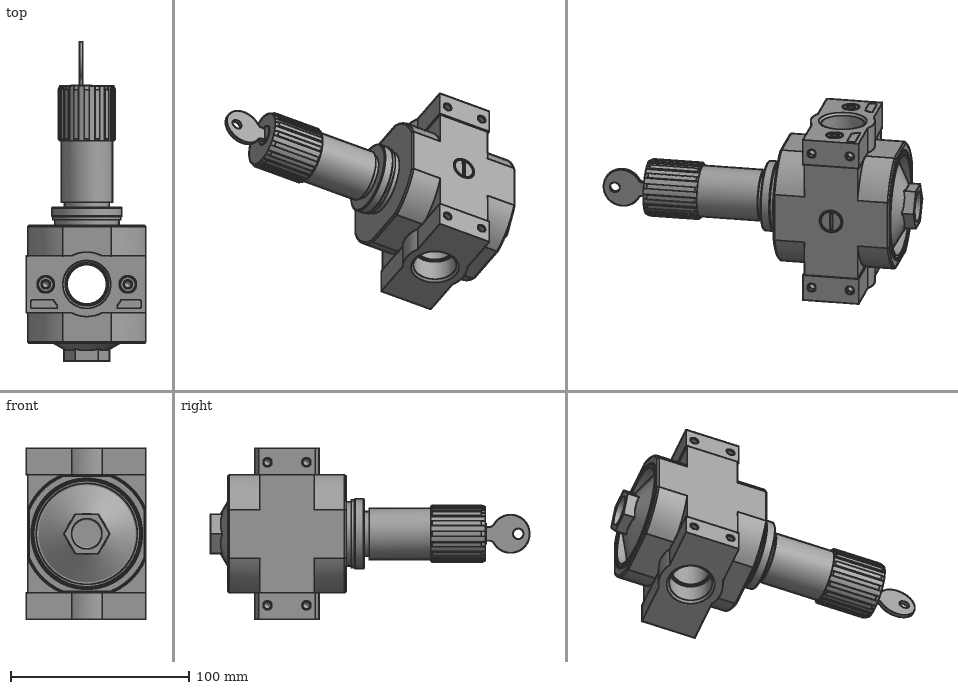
import cadquery as cq
import math


HOUSING_HALF = 33.1
HOUSING_HALF_LENGTH = 33.1
HOUSING_ROUND_D = 71.6
SQUARE_HALF_LENGTH = 15.2
HOUSING_CHAMFER = 0.9
FLOW_BORE_D = 22.0

OUTER_HALF_HEIGHT = 48.0
PLATE_THICKNESS = OUTER_HALF_HEIGHT - HOUSING_HALF
PLATE_LEFT = -34.0
PLATE_RIGHT = HOUSING_HALF
PLATE_HALF_DEPTH = 16.0
PORT_BULGE_D = 36.2
PORT_D = 24.2
PORT_DEPTH = 14.0
PORT_MOUTH_D = 26.8

SMALL_HOLE_D = 4.1
SMALL_MOUTH_D = 5.0
SMALL_HOLE_DEPTH = 3.5
END_HOLE_Y = 11.0
END_HOLE_Z = 40.1

LABEL_MARGIN = 2.5
LEFT_LABEL_LENGTH = 15.0
RIGHT_LABEL_LENGTH = 13.6
LABEL_SLANT = 2.3
LABEL_FRONT = -13.5
LABEL_BACK = -8.8
LABEL_DEPTH = 0.2
LABEL_CORNER = 0.7

SCREW_SPACING = 46.0
SCREW_POSITIONS = (-SCREW_SPACING / 2, SCREW_SPACING / 2)
SCREW_D = 9.0
SCREW_FACE_D = 8.5
SCREW_SEAT_D = 9.7

PLUG_D = 12.4
PLUG_FACE_D = 11.5
PLUG_SEAT_D = 13.2
PLUG_LENGTH = 7.2
SLOT_LENGTH = 9.5
SLOT_WIDTH = 1.6
SLOT_DEPTH = 1.5

COVER_D = 60.9
COVER_FACE_D = 59.5
COVER_SEAT_D = 62.3
RIM_INNER_D = 56.5
GROOVE_DEPTH = 5.7
GROOVE_FILLET = 0.9
COVER_FLOOR = 2.7
CONE_TOP_D = 22.7
FRONT_Y = -43.0
CONE_TOP_Y = -37.0
HEX_FLATS = 22.2
HEX_RECESS_D = 17.0
HEX_RECESS_DEPTH = 3.4
HEX_RECESS_FILLET = 1.0

COLLAR_D = 36.2
COLLAR_END = 36.2
RING_STEP_END = 37.8
RING_D = 39.4
RING_END = 43.3
RING_CHAMFER = 0.5
RING_STEP_D = RING_D - 2 * RING_CHAMFER
NECK_D = 25.2

SLEEVE_D = 28.8
SLEEVE_START = 46.0
GRIP_START = 80.5
GRIP_END = 111.2
GRIP_VALLEY_D = 30.0
GRIP_D = 32.0
GRIP_REAR_CHAMFER = 2.1
RIB_COUNT = 16
RIB_WIDTH = 2.7
LOCK_X = -3.2
LOCK_D = 11.3
LOCK_HEIGHT = 0.5

KEY_THICKNESS = 2.0
KEY_END = 136.0
KEY_HEAD_D = 21.5
KEY_NECK_WIDTH = 7.9
KEY_NECK_FILLET = 2.7
KEY_HOLE_D = 5.7
KEY_HOLE_OFFSET = 4.3


def revolve_about_y(profile):
    """Turn a closed profile of (radius, y) points about the control axis."""
    return cq.Workplane("XY").polyline(profile).close().revolve(360, (0, 0, 0), (0, 1, 0))


def turned_cutter(mouth, direction, profile):
    """Turn a closed profile of (radius, depth) points into a tool that enters at the mouth.

    The direction is a unit vector along a main axis.
    """
    x, y, z = direction
    sideways = cq.Vector(z, x, y)
    plane = cq.Plane(origin=mouth, xDir=sideways, normal=sideways.cross(cq.Vector(x, y, z)))
    return cq.Workplane(plane).polyline(profile).close().revolve(360, (0, 0, 0), (0, 1, 0))


def chamfered_seat(mouth, direction, mouth_d, bore_d, depth):
    """Cylindrical hole with a 45 degree mouth."""
    bore_r = bore_d / 2
    mouth_r = mouth_d / 2
    profile = [(0, 0), (mouth_r, 0), (bore_r, mouth_r - bore_r), (bore_r, depth), (0, depth)]
    return turned_cutter(mouth, direction, profile)


def small_blind_hole(mouth, direction):
    """Drilled hole with a 45 degree mouth and a 45 degree drill point."""
    bore_r = SMALL_HOLE_D / 2
    mouth_r = SMALL_MOUTH_D / 2
    profile = [
        (0, 0),
        (mouth_r, 0),
        (bore_r, mouth_r - bore_r),
        (bore_r, SMALL_HOLE_DEPTH),
        (0, SMALL_HOLE_DEPTH + bore_r),
    ]
    return turned_cutter(mouth, direction, profile)


def flow_bore():
    """Tool for the straight bore that joins both ports."""
    return cq.Workplane("XY").circle(FLOW_BORE_D / 2).extrude(OUTER_HALF_HEIGHT, both=True)


def make_housing():
    side = 2 * HOUSING_HALF
    length = 2 * HOUSING_HALF_LENGTH
    rounded = cq.Workplane("XZ").circle(HOUSING_ROUND_D / 2).extrude(HOUSING_HALF_LENGTH, both=True)
    ends = cq.Workplane("XY").box(side, length, side).intersect(rounded)
    ends = ends.faces("<Y or >Y").chamfer(HOUSING_CHAMFER)
    middle = cq.Workplane("XY").box(side, 2 * SQUARE_HALF_LENGTH, side)
    cover_seat = chamfered_seat(
        (0, -HOUSING_HALF_LENGTH, 0), (0, 1, 0), COVER_SEAT_D, COVER_D, GROOVE_DEPTH + COVER_FLOOR
    )
    plug_seat = chamfered_seat((-HOUSING_HALF, 0, 0), (1, 0, 0), PLUG_SEAT_D, PLUG_D, PLUG_LENGTH)
    return ends.union(middle).cut(flow_bore()).cut(cover_seat).cut(plug_seat)


def make_plate():
    """Upper port plate with its port and end holes."""
    plate = (
        cq.Workplane("XY", origin=(0, 0, HOUSING_HALF))
        .center((PLATE_LEFT + PLATE_RIGHT) / 2, 0)
        .rect(PLATE_RIGHT - PLATE_LEFT, 2 * PLATE_HALF_DEPTH)
        .extrude(PLATE_THICKNESS)
    )
    bulge = cq.Workplane("XY", origin=(0, 0, HOUSING_HALF)).circle(PORT_BULGE_D / 2)
    plate = plate.union(bulge.extrude(PLATE_THICKNESS))
    top = (0, 0, OUTER_HALF_HEIGHT)
    plate = plate.cut(chamfered_seat(top, (0, 0, -1), PORT_MOUTH_D, PORT_D, PORT_DEPTH))
    plate = plate.cut(flow_bore())
    for y in (-END_HOLE_Y, END_HOLE_Y):
        plate = plate.cut(small_blind_hole((PLATE_LEFT, y, END_HOLE_Z), (1, 0, 0)))
        plate = plate.cut(small_blind_hole((PLATE_RIGHT, y, END_HOLE_Z), (-1, 0, 0)))
    return plate


def label_recess(end_x, inward, length):
    """Shallow recess with one slanted end; inward is the X direction away from the plate end."""
    start = end_x + inward * LABEL_MARGIN
    finish = start + inward * length
    outline = [
        (start, LABEL_FRONT),
        (finish, LABEL_FRONT),
        (finish, LABEL_FRONT + 2 * LABEL_CORNER),
        (finish - inward * LABEL_SLANT, LABEL_BACK),
        (start, LABEL_BACK),
    ]
    recess = cq.Workplane("XY", origin=(0, 0, OUTER_HALF_HEIGHT)).polyline(outline).close()
    recess = recess.extrude(-LABEL_DEPTH)
    outer_side = "<X" if inward > 0 else ">X"
    return recess.faces(outer_side).edges("|Z").chamfer(LABEL_CORNER)


def screw_mouth(x):
    return (x, 0, OUTER_HALF_HEIGHT)


def add_upper_details(plate):
    """Cut the screw seats and the label recesses into the upper plate."""
    for x in SCREW_POSITIONS:
        seat = chamfered_seat(screw_mouth(x), (0, 0, -1), SCREW_SEAT_D, SCREW_D, PLATE_THICKNESS)
        plate = plate.cut(seat)
    plate = plate.cut(label_recess(PLATE_LEFT, 1, LEFT_LABEL_LENGTH))
    return plate.cut(label_recess(PLATE_RIGHT, -1, RIGHT_LABEL_LENGTH))


def make_screw(x):
    """Plate screw, flush with the plate, with a socket in its face."""
    screw = cq.Workplane("XY", origin=(x, 0, HOUSING_HALF)).circle(SCREW_D / 2).extrude(PLATE_THICKNESS)
    screw = screw.faces(">Z").chamfer((SCREW_D - SCREW_FACE_D) / 2)
    return screw.cut(small_blind_hole(screw_mouth(x), (0, 0, -1)))


def make_plug():
    """Slotted plug, flush with the left side of the housing."""
    face = cq.Workplane("YZ", origin=(-HOUSING_HALF, 0, 0))
    plug = face.circle(PLUG_D / 2).extrude(PLUG_LENGTH)
    plug = plug.faces("<X").chamfer((PLUG_D - PLUG_FACE_D) / 2)
    return plug.cut(face.rect(SLOT_WIDTH, SLOT_LENGTH).extrude(SLOT_DEPTH))


def make_cover():
    """Round cover with a tapered groove, a cone and a hexagon in the front of the housing."""
    face_y = -HOUSING_HALF_LENGTH
    groove_y = face_y + GROOVE_DEPTH
    back_y = groove_y + COVER_FLOOR
    edge_chamfer = (COVER_D - COVER_FACE_D) / 2
    cover = revolve_about_y([
        (0, back_y),
        (COVER_D / 2, back_y),
        (COVER_D / 2, face_y + edge_chamfer),
        (COVER_FACE_D / 2, face_y),
        (RIM_INNER_D / 2, face_y),
        (RIM_INNER_D / 2, groove_y),
        (CONE_TOP_D / 2, CONE_TOP_Y),
        (0, CONE_TOP_Y),
    ])
    groove_bottom = cq.selectors.BoxSelector(
        (-COVER_D, groove_y - GROOVE_FILLET, -COVER_D), (COVER_D, groove_y + GROOVE_FILLET, COVER_D)
    )
    cover = cover.edges(groove_bottom).edges("%CIRCLE").fillet(GROOVE_FILLET)
    hexagon = (
        cq.Workplane("XZ", origin=(0, groove_y, 0))
        .polygon(6, HEX_FLATS / math.cos(math.pi / 6))
        .extrude(groove_y - FRONT_Y)
    )
    recess = cq.Workplane("XZ", origin=(0, FRONT_Y, 0)).circle(HEX_RECESS_D / 2).extrude(-HEX_RECESS_DEPTH)
    recess = recess.faces(">Y").edges().fillet(HEX_RECESS_FILLET)
    return cover.union(hexagon).cut(recess)


def make_bonnet():
    ring_r = RING_D / 2
    return revolve_about_y([
        (0, HOUSING_HALF_LENGTH),
        (COLLAR_D / 2, HOUSING_HALF_LENGTH),
        (COLLAR_D / 2, COLLAR_END),
        (RING_STEP_D / 2, COLLAR_END),
        (RING_STEP_D / 2, RING_STEP_END),
        (ring_r, RING_STEP_END + RING_CHAMFER),
        (ring_r, RING_END - RING_CHAMFER),
        (RING_STEP_D / 2, RING_END),
        (NECK_D / 2, RING_END),
        (NECK_D / 2, SLEEVE_START),
        (0, SLEEVE_START),
    ])


def make_knob():
    """Smooth sleeve with a ribbed grip; the round lock face stands out of its rear end."""
    valley_r = GRIP_VALLEY_D / 2
    grip_r = GRIP_D / 2
    rib_height = grip_r - valley_r
    knob = revolve_about_y([
        (0, SLEEVE_START),
        (SLEEVE_D / 2, SLEEVE_START),
        (SLEEVE_D / 2, GRIP_START),
        (valley_r, GRIP_START),
        (valley_r, GRIP_END),
        (0, GRIP_END),
    ])
    grip = revolve_about_y([
        (0, GRIP_START),
        (valley_r, GRIP_START),
        (grip_r, GRIP_START + rib_height),
        (grip_r, GRIP_END - GRIP_REAR_CHAMFER),
        (valley_r, GRIP_END),
        (0, GRIP_END),
    ])
    grip_length = GRIP_END - GRIP_START
    bar = cq.Workplane("XY").box(GRIP_D, grip_length, RIB_WIDTH)
    bar = bar.translate((0, (GRIP_START + GRIP_END) / 2, 0))
    for i in range(RIB_COUNT // 2):
        turned = bar.rotate((0, 0, 0), (0, 1, 0), i * 360 / RIB_COUNT)
        knob = knob.union(grip.intersect(turned))
    lock = cq.Workplane("XZ", origin=(LOCK_X, GRIP_END, 0)).circle(LOCK_D / 2).extrude(-LOCK_HEIGHT)
    return knob.union(lock)


def make_key():
    head_y = KEY_END - KEY_HEAD_D / 2
    neck_start = GRIP_END + LOCK_HEIGHT
    middle = cq.Workplane("YZ", origin=(LOCK_X - KEY_THICKNESS / 2, 0, 0))
    head = middle.center(head_y, 0).circle(KEY_HEAD_D / 2).extrude(KEY_THICKNESS)
    neck = (
        middle.center((head_y + neck_start) / 2, 0)
        .rect(head_y - neck_start, KEY_NECK_WIDTH)
        .extrude(KEY_THICKNESS)
    )
    neck_corner_y = head_y - math.sqrt(KEY_HEAD_D**2 - KEY_NECK_WIDTH**2) / 2
    corner_zone = cq.selectors.BoxSelector(
        (LOCK_X - KEY_THICKNESS, neck_corner_y - KEY_NECK_FILLET, -KEY_NECK_WIDTH),
        (LOCK_X + KEY_THICKNESS, neck_corner_y + KEY_NECK_FILLET, KEY_NECK_WIDTH),
    )
    key = head.union(neck).edges("|X").edges(corner_zone).fillet(KEY_NECK_FILLET)
    ring_hole = middle.center(head_y + KEY_HOLE_OFFSET, 0).circle(KEY_HOLE_D / 2).extrude(KEY_THICKNESS)
    return key.cut(ring_hole)


housing = make_housing()
plain_plate = make_plate()
upper_plate = add_upper_details(plain_plate)
lower_plate = plain_plate.mirror("XY")
screws = [make_screw(x) for x in SCREW_POSITIONS]
plug = make_plug()
cover = make_cover()
bonnet = make_bonnet()
knob = make_knob()
key = make_key()

result = cq.Compound.makeCompound([
    housing.val(),
    upper_plate.val(),
    lower_plate.val(),
    *[screw.val() for screw in screws],
    plug.val(),
    cover.val(),
    bonnet.val(),
    knob.val(),
    key.val(),
])